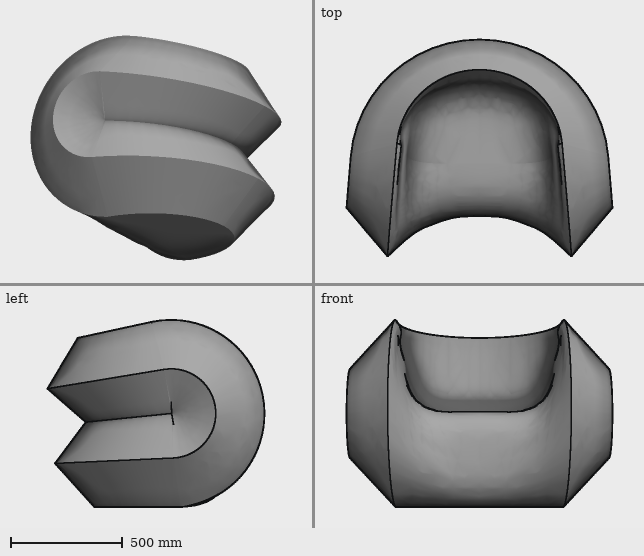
import math

import cadquery as cq

loft = cq.occ_impl.shapes.loft
shell = cq.occ_impl.shapes.shell

width = 1193.44
depth = 973.63
height = 840.07
front = -depth / 2
floor = -height / 2

toe_out = math.radians(4.7)
rim_radius = height / 2
rim_centre_y = front + rim_radius
rim_front_half_width = 412.0
rim_base_half_width = 376.0
rim_base_y = -110.0
rim_recline = math.radians(12.0)

side_radius = 200.0
side_front_y = -268.0
side_centre_y = side_front_y + side_radius
side_top_turn = math.radians(9.0)
side_base_turn = math.radians(2.5)

back_top = (351.0, 339.0)
back_widest = (depth / 2, 111.0)
groove_bottom = (315.0, -39.0)
base_widest = (453.0, -224.0)
base_bottom = (276.0, floor)

groove_end_half_width = 470.0
groove_end_y = -70.0
groove_end_z = 0.0

crest_y = -70.0
crest_z = 3.0
seat_fillet = 154.0
arm_lean = math.radians(10.0)
back_lean = math.radians(12.0)
seat_slope = math.radians(7.4)

nose_y = -303.0
nose_z = -206.0
nose_corner_half_width = 221.0
nose_fillet = 371.0
nose_fullness = 25.0

seat_sections = 16
section_spans = 12
sewing_tolerance = 0.05


def middle_point(yz):
    return cq.Vector(0, *yz)


def mirrored(point):
    return cq.Vector(-point.x, point.y, point.z)


def both_sides(face):
    return [face, face.mirror("YZ")]


def arc(start, middle, end):
    return cq.Edge.makeThreePointArc(start, middle, end)


def back_arc(start, rearmost):
    """Arc from a point on the left around the back to its mirror image."""
    return arc(start, middle_point(rearmost), mirrored(start))


def rim_point(y, z):
    return cq.Vector(-rim_front_half_width + (y - front) * math.tan(toe_out), y, z)


def side_point(y, z):
    return cq.Vector(-width / 2 + (y - side_front_y) * math.tan(toe_out), y, z)


def rounded_corner(start, corner, end, radius):
    """Line, arc and line from start to end, rounding the corner between them."""
    to_start = (start - corner).normalized()
    to_end = (end - corner).normalized()
    half_angle = to_start.getAngle(to_end) / 2
    tangent_length = radius / math.tan(half_angle)
    bisector = (to_start + to_end).normalized()
    arc_start = corner + to_start * tangent_length
    arc_middle = corner + bisector * (radius / math.sin(half_angle) - radius)
    arc_end = corner + to_end * tangent_length
    return [
        cq.Edge.makeLine(start, arc_start),
        arc(arc_start, arc_middle, arc_end),
        cq.Edge.makeLine(arc_end, end),
    ]


def arm_to_arm(left_half):
    """Wire made of left-hand edges and their mirror images, from left to right."""
    return cq.Wire.assembleEdges(left_half + [edge.mirror("YZ") for edge in left_half])


rim_top = rim_point(
    rim_centre_y + rim_radius * math.sin(rim_recline),
    rim_radius * math.cos(rim_recline),
)
rim_front = rim_point(front, 0)
rim_base = cq.Vector(-rim_base_half_width, rim_base_y, floor)
side_top = side_point(
    side_centre_y + side_radius * math.sin(side_top_turn),
    side_radius * math.cos(side_top_turn),
)
side_front = side_point(side_front_y, 0)
side_base = side_point(
    side_centre_y - side_radius * math.sin(side_base_turn),
    -side_radius * math.cos(side_base_turn),
)
groove_end = cq.Vector(-groove_end_half_width, groove_end_y, groove_end_z)

crest_middle = cq.Vector(0, crest_y, crest_z)
crest_corner_x = rim_top.x + (rim_top.z - crest_z) * math.tan(arm_lean)
crest_corner = cq.Vector(crest_corner_x, crest_y, crest_z)
crest_line = arm_to_arm(rounded_corner(rim_top, crest_corner, crest_middle, seat_fillet))

nose_corner = cq.Vector(-nose_corner_half_width, nose_y, nose_z)
nose_middle = cq.Vector(0, nose_y, nose_z)
nose_line = arm_to_arm(rounded_corner(rim_front, nose_corner, nose_middle, nose_fillet))

base_front_line = cq.Wire.assembleEdges([cq.Edge.makeLine(rim_base, mirrored(rim_base))])

back_rim_line = cq.Wire.assembleEdges([back_arc(rim_top, back_top)])
back_top_middle = middle_point(back_top)
wall_foot_y = back_top_middle.y - (back_top_middle.z - crest_z) * math.tan(back_lean)
seat_run = (wall_foot_y - crest_y) / (1 + math.tan(seat_slope) * math.tan(back_lean))
back_corner = crest_middle + cq.Vector(0, seat_run, -seat_run * math.tan(seat_slope))
back_profile = cq.Wire.assembleEdges(
    rounded_corner(crest_middle, back_corner, back_top_middle, seat_fillet)
)


def seat_front_section(across):
    """Curve from the crest over the nose to the base; across runs 0 to 1, arm to arm."""
    guides = (crest_line, nose_line, base_front_line)
    plain_arc = arc(*[guide.positionAt(across) for guide in guides])
    centre = plain_arc.arcCenter()
    fullness = nose_fullness * math.sin(math.pi * across) ** 2
    points = []
    for i in range(section_spans + 1):
        along = i / section_spans
        point = plain_arc.positionAt(along)
        outward = (point - centre).normalized()
        bulge = fullness * math.sin(2 * math.pi * along) ** 2
        points.append(point + outward * bulge)
    return cq.Edge.makeSpline(points)


def make_seat_front():
    sections = [seat_front_section(i / seat_sections) for i in range(seat_sections + 1)]
    return loft(*sections).Faces()[0]


hinge = cq.Vector(0, rim_top.y, rim_top.z)


def reach(point, middle):
    """Distance of a point from the hinge line, as a share of that of the curve's middle."""
    from_hinge = cq.Vector(0, point.y, point.z) - hinge
    return from_hinge.Length / (middle - hinge).Length


def seat_back_section(across):
    """Curve from the crest up to the back rim; across runs 0 to 1, arm to arm."""
    low = crest_line.positionAt(across)
    high = back_rim_line.positionAt(across)
    low_reach = reach(low, crest_middle)
    high_reach = reach(high, back_top_middle)
    points = []
    for i in range(section_spans + 1):
        lift = i / section_spans
        blend = math.sin(lift * math.pi / 2)
        x = low.x + (high.x - low.x) * blend
        share = low_reach + (high_reach - low_reach) * blend
        middle = back_profile.positionAt(lift)
        points.append(hinge + (middle - hinge) * share + cq.Vector(x, 0, 0))
    return cq.Edge.makeSpline(points)


def make_seat_back():
    left_end = cq.Vertex.makeVertex(*rim_top.toTuple())
    right_end = cq.Vertex.makeVertex(*mirrored(rim_top).toTuple())
    sections = [seat_back_section(i / seat_sections) for i in range(1, seat_sections)]
    return loft(left_end, *sections, right_end).Faces()[0]


def make_outside(side_rim, back_rim):
    """Faces outside the rims: sides, backrest, rear groove, base and bottom."""
    side_edge = arc(side_top, side_front, side_base)
    back_edge = back_arc(side_top, back_widest)
    groove_line = back_arc(groove_end, groove_bottom)
    base_edge = back_arc(side_base, base_widest)
    base_rim = back_arc(rim_base, base_bottom)

    ruled = cq.Face.makeRuledSurface
    groove_vertex = cq.Vertex.makeVertex(*groove_end.toTuple())
    side_hollow = loft(groove_vertex, side_edge).Faces()[0]
    bottom_outline = cq.Wire.assembleEdges([base_rim] + base_front_line.Edges())

    faces = both_sides(ruled(side_rim, side_edge)) + both_sides(side_hollow)
    faces.append(ruled(back_rim, back_edge))
    faces.append(ruled(back_edge, groove_line))
    faces.append(ruled(groove_line, base_edge))
    faces.append(ruled(base_edge, base_rim))
    faces.append(cq.Face.makeFromWires(bottom_outline))
    return faces


def make_chair():
    seat_front = make_seat_front()
    seat_back = make_seat_back()
    left_rim = min(seat_front.Edges(), key=lambda edge: edge.Center().x)
    back_rim = max(seat_back.Edges(), key=lambda edge: edge.Center().y)
    faces = [seat_front, seat_back] + make_outside(left_rim, back_rim)
    skin = shell(*faces, tol=sewing_tolerance)
    return cq.Solid.makeSolid(skin.Shells()[0])


def seamed_on_middle(solid):
    """Rebuild a symmetric solid from its left half, leaving a seam on the middle plane."""
    left_corner = cq.Vector(-width, -depth, -height)
    left_space = cq.Solid.makeBox(width, 2 * depth, 2 * height, left_corner)
    left_half = solid.intersect(left_space)
    return left_half.fuse(left_half.mirror("YZ")).Solids()[0]


result = cq.Workplane(seamed_on_middle(make_chair()))